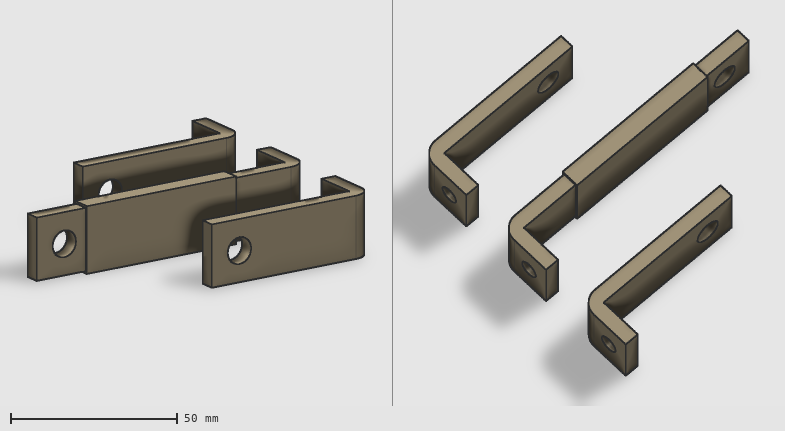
import cadquery as cq

BAR_THICKNESS = 5.0
BAR_HEIGHT = 20.0
FOOT_LENGTH = 20.0
BEND_RADIUS = 6.0

BRACKET_PITCH = 35.0
SIDE_LENGTH = 58.0
CENTRE_LENGTH = 98.0

FOOT_HOLE_DIAMETER = 6.0
FOOT_HOLE_FROM_TIP = 7.5
ARM_HOLE_DIAMETER = 8.4
ARM_HOLE_FROM_END = 10.0

BAND_WALL = 0.7
BAND_LENGTH = 54.0
BAND_START = 26.3

MID_HEIGHT = BAR_HEIGHT / 2


def make_bracket(arm_length):
    """L-shaped bar: back of the foot on Y = 0, foot tip on X = 0, arm running toward -Y."""
    inner_x = FOOT_LENGTH - BAR_THICKNESS
    bracket = (
        cq.Workplane("XY")
        .moveTo(0, 0)
        .lineTo(FOOT_LENGTH - BEND_RADIUS, 0)
        .radiusArc((FOOT_LENGTH, -BEND_RADIUS), BEND_RADIUS)
        .lineTo(FOOT_LENGTH, -arm_length)
        .lineTo(inner_x, -arm_length)
        .lineTo(inner_x, -BAR_THICKNESS)
        .lineTo(0, -BAR_THICKNESS)
        .close()
        .extrude(BAR_HEIGHT)
    )
    foot_hole = (
        cq.Workplane("XZ")
        .center(FOOT_HOLE_FROM_TIP, MID_HEIGHT)
        .circle(FOOT_HOLE_DIAMETER / 2)
        .extrude(BAR_THICKNESS)
    )
    arm_hole = (
        cq.Workplane("YZ", origin=(inner_x, 0, 0))
        .center(ARM_HOLE_FROM_END - arm_length, MID_HEIGHT)
        .circle(ARM_HOLE_DIAMETER / 2)
        .extrude(BAR_THICKNESS)
    )
    return bracket.cut(foot_hole).cut(arm_hole)


def make_banded_bracket():
    """Long bracket with a slightly thicker band around the middle of its arm."""
    band_centre = (
        FOOT_LENGTH - BAR_THICKNESS / 2,
        -BAND_START - BAND_LENGTH / 2,
        MID_HEIGHT,
    )
    band = cq.Workplane("XY", origin=band_centre).box(
        BAR_THICKNESS + 2 * BAND_WALL,
        BAND_LENGTH,
        BAR_HEIGHT + 2 * BAND_WALL,
    )
    return make_bracket(CENTRE_LENGTH).union(band)


side_brackets = [
    make_bracket(SIDE_LENGTH).translate((offset, 0, 0))
    for offset in (-BRACKET_PITCH, BRACKET_PITCH)
]
centre_bracket = make_banded_bracket()

result = cq.Compound.makeCompound(
    [bracket.val() for bracket in side_brackets] + [centre_bracket.val()]
)